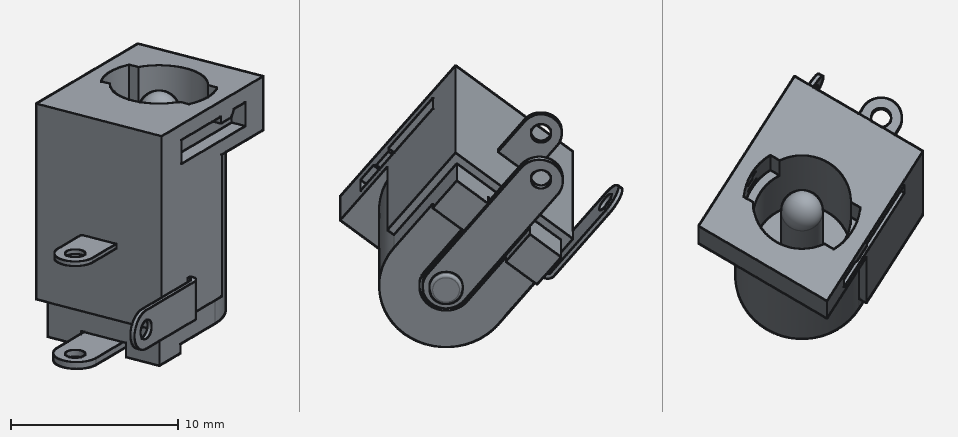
import cadquery as cq


total_height = 15.2
body_width = 9.0
body_front = -6.5
body_bottom = 2.5
head_back = 4.5
head_bottom = 11.7

base_width = 8.0
base_front = -6.0
base_bottom = 0.6
barrel_radius = base_width / 2

foot_length = 2.3

groove_width = 3.2

bore_diameter = 5.85
bore_depth = 10.0
key_diameter = 7.0
key_width = 3.05
key_depth = 3.0

pin_diameter = 2.5
pin_tip = 14.7
tail_diameter = 2.0
tail_bottom = 0.05
tail_fillet = 0.2

window_front = -4.35
window_back = 2.55
window_bottom = 12.65
window_top = 14.2
window_wall = 0.02
window_depth = (body_width - key_diameter) / 2 - window_wall
lip_height = 0.45
lip_front = -0.1
lip_back = 1.05
lip_slope_run = 0.27

sheet = 0.3
hole_diameter = 1.2
terminal_width = 2.5
terminal_tip = -10.3
terminal_embed = 1.0

upper_bottom = 7.15

lower_width = 2.8
lower_thickness = 0.45
lower_bottom = 0.48

side_tip = -10.4
side_outer_x = 5.15
side_bottom = body_bottom
side_shoulder = -3.4
side_bend_radius = 0.5

hole_y = terminal_tip + terminal_width / 2


def block(x_min, x_max, y_min, y_max, z_min, z_max):
    """Axis-aligned block given by its limits."""
    size = (x_max - x_min, y_max - y_min, z_max - z_min)
    return cq.Workplane("XY").box(*size, centered=False).translate((x_min, y_min, z_min))


def rod(diameter, z_min, z_max):
    """Round bar on the socket axis."""
    return cq.Workplane("XY").workplane(offset=z_min).circle(diameter / 2).extrude(z_max - z_min)


def make_housing():
    """Head, front body, base block, barrel and the two feet."""
    half_body = body_width / 2
    half_base = base_width / 2
    head = block(-half_body, half_body, body_front, head_back, head_bottom, total_height)
    body = block(-half_body, half_body, body_front, 0, body_bottom, total_height)
    base = block(-half_base, half_base, base_front, 0, base_bottom, total_height)
    barrel = rod(2 * barrel_radius, base_bottom, head_bottom)
    feet_back = base_front + foot_length
    feet = block(-half_base, half_base, base_front, feet_back, 0, body_bottom)
    return head.union(body).union(base).union(barrel).union(feet)


def make_groove():
    """Void between the feet and under the base, with a round end about the socket axis."""
    groove_top = lower_bottom + lower_thickness
    straight = block(-groove_width / 2, groove_width / 2, base_front, 0, 0, groove_top)
    return straight.union(rod(groove_width, 0, groove_top))


def make_socket():
    """Void of the bore and the two key recesses."""
    bore = rod(bore_diameter, total_height - bore_depth, total_height)
    key_floor = total_height - key_depth
    key_slab = block(
        -key_diameter / 2, key_diameter / 2, -key_width / 2, key_width / 2, key_floor, total_height
    )
    keys = rod(key_diameter, key_floor, total_height).intersect(key_slab)
    return bore.union(keys)


def make_windows():
    """Voids of the two side windows, each with a sloped lip hanging from its ceiling."""
    lip_bottom = window_top - lip_height
    outline = [
        (window_front, window_bottom),
        (window_back, window_bottom),
        (window_back, window_top),
        (lip_back + lip_slope_run, window_top),
        (lip_back, lip_bottom),
        (lip_front, lip_bottom),
        (lip_front, window_top),
        (window_front, window_top),
    ]
    left = cq.Workplane("YZ", origin=(-body_width / 2, 0, 0)).polyline(outline).close().extrude(window_depth)
    return left.union(left.mirror("YZ"))


def make_pin():
    """Domed centre pin through the bore floor, with the riveted tail below."""
    dome_centre = pin_tip - pin_diameter / 2
    shaft = rod(pin_diameter, base_bottom + lower_thickness, dome_centre)
    dome = cq.Workplane("XY").sphere(pin_diameter / 2).translate((0, 0, dome_centre))
    tail = rod(tail_diameter, tail_bottom, body_bottom).faces("<Z").edges().fillet(tail_fillet)
    return shaft.union(dome).union(tail)


def make_flat_terminal(width, bottom, thickness, root_y):
    """Horizontal strip from root_y to a rounded tip, with a solder hole."""
    radius = width / 2
    tip_centre = terminal_tip + radius
    strip = (
        cq.Workplane("XY", origin=(0, 0, bottom))
        .moveTo(-radius, root_y)
        .lineTo(-radius, tip_centre)
        .threePointArc((0, terminal_tip), (radius, tip_centre))
        .lineTo(radius, root_y)
        .close()
        .extrude(thickness)
    )
    hole = rod(hole_diameter, bottom, bottom + thickness).translate((0, hole_y, 0))
    return strip.cut(hole)


def make_lower_terminal():
    """Terminal under the base, rounded around the pin tail at its inner end."""
    strip = make_flat_terminal(lower_width, lower_bottom, lower_thickness, 0)
    return strip.union(rod(lower_width, lower_bottom, lower_bottom + lower_thickness))


def make_side_terminal():
    """Sheet leaving the +X side, bent toward -Y and rounded at its tip."""
    root_x = body_width / 2 - terminal_embed
    inner_x = side_outer_x - sheet
    bend_x = side_outer_x - side_bend_radius
    bend_y = side_shoulder - side_bend_radius
    inner_bend_radius = side_bend_radius - sheet
    radius = terminal_width / 2
    tip_centre = side_tip + radius
    centre_z = side_bottom + radius
    strip = (
        cq.Workplane("XY", origin=(0, 0, side_bottom))
        .moveTo(root_x, side_shoulder)
        .lineTo(bend_x, side_shoulder)
        .radiusArc((side_outer_x, bend_y), side_bend_radius)
        .lineTo(side_outer_x, tip_centre)
        .lineTo(inner_x, tip_centre)
        .lineTo(inner_x, bend_y)
        .radiusArc((bend_x, side_shoulder - sheet), -inner_bend_radius)
        .lineTo(root_x, side_shoulder - sheet)
        .close()
        .extrude(terminal_width)
    )
    tip_plane = cq.Workplane("YZ", origin=(inner_x, tip_centre, centre_z))
    tip = tip_plane.circle(radius).extrude(sheet)
    hole = tip_plane.circle(hole_diameter / 2).extrude(sheet)
    return strip.union(tip).cut(hole)


housing = make_housing().cut(make_groove()).cut(make_socket()).cut(make_windows())
upper_terminal = make_flat_terminal(terminal_width, upper_bottom, sheet, body_front + terminal_embed)
result = (
    housing.union(make_pin())
    .union(upper_terminal)
    .union(make_lower_terminal())
    .union(make_side_terminal())
)